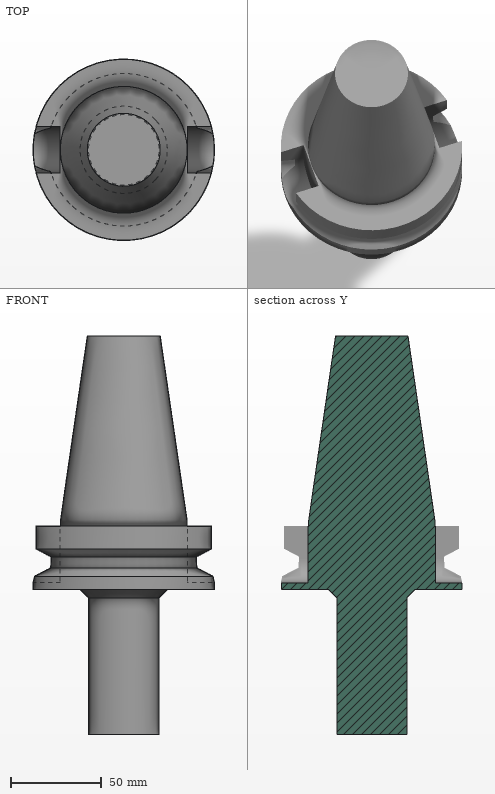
import cadquery as cq

total_height = 219.8

taper_length = 101.8
taper_small_diameter = 40.2
gauge_diameter = 70.0

collar_height = 3.0
flange_diameter = 100.0
flange_height = 35.0
groove_diameter = 84.2
groove_upper_edge = 12.5
groove_floor_top = 17.0
groove_floor_bottom = 23.0
groove_lower_edge = 27.7

shank_diameter = 39.0
cone_size = 4.6

slot_width = 25.7
slot_depth = 31.2
slot_face_offset = 35.2

flange_top = -collar_height
flange_bottom = flange_top - flange_height
shank_bottom = taper_length - total_height


def make_body():
    """Revolve the half profile of the taper, flange and shank about Z."""
    gauge_radius = gauge_diameter / 2
    flange_radius = flange_diameter / 2
    groove_radius = groove_diameter / 2
    shank_radius = shank_diameter / 2
    profile = [
        (0, taper_length),
        (taper_small_diameter / 2, taper_length),
        (gauge_radius, 0),
        (gauge_radius, flange_top),
        (flange_radius, flange_top),
        (flange_radius, flange_top - groove_upper_edge),
        (groove_radius, flange_top - groove_floor_top),
        (groove_radius, flange_top - groove_floor_bottom),
        (flange_radius, flange_top - groove_lower_edge),
        (flange_radius, flange_bottom),
        (shank_radius + cone_size, flange_bottom),
        (shank_radius, flange_bottom - cone_size),
        (shank_radius, shank_bottom),
        (0, shank_bottom),
    ]
    return cq.Workplane("XZ").polyline(profile).close().revolve(360, (0, 0), (0, 1))


def make_drive_slot():
    """Cutter for the slot on the +X side, open at the flange top and rim."""
    half_width = slot_width / 2
    slot_bottom = flange_top - slot_depth
    arc_center = slot_bottom + half_width
    return (
        cq.Workplane("YZ", origin=(slot_face_offset, 0, 0))
        .moveTo(-half_width, flange_top)
        .lineTo(-half_width, arc_center)
        .threePointArc((0, slot_bottom), (half_width, arc_center))
        .lineTo(half_width, flange_top)
        .close()
        .extrude(flange_diameter / 2)
    )


drive_slot = make_drive_slot()
result = make_body().cut(drive_slot).cut(drive_slot.mirror("YZ"))